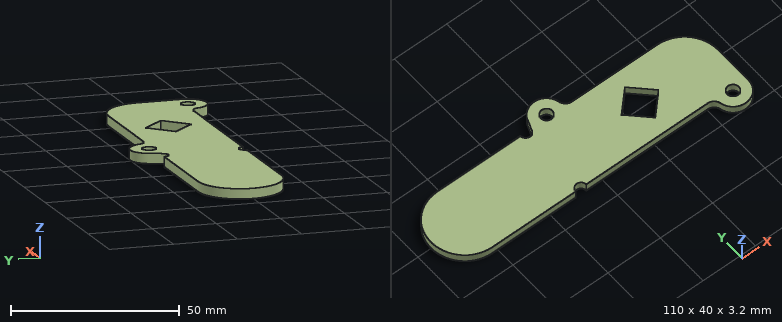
import cadquery as cq
import math

length = 110.0
body_width = 26.0
thickness = 3.2
half_width = body_width / 2

overall_width = 40.0
ear_radius = 5.9
ear_hole_diameter = 4.3
ear_offset = overall_width / 2 - ear_radius
upper_ear = (55.8, ear_offset)
lower_ear = (length - ear_radius, -ear_offset)
ear_fillet = 3.0

notch_x = 46.9
notch_radius = 2.0
window_x = 80.0
window_side = 10.0


def point_on_circle(center, radius, angle):
    return (center[0] + radius * math.cos(angle), center[1] + radius * math.sin(angle))


def fillet_blend(ear, side, edge_sign):
    """Points where a fillet meets the ear and the straight edge, with the arc's midpoint.

    side is -1 or 1 for the left or right of the ear, edge_sign for the lower or upper edge.
    """
    rise = half_width + ear_fillet - ear_offset
    run = math.sqrt((ear_radius + ear_fillet) ** 2 - rise**2)
    center = (ear[0] + side * run, edge_sign * (half_width + ear_fillet))
    to_ear = math.atan2(ear[1] - center[1], ear[0] - center[0])
    on_ear = point_on_circle(center, ear_fillet, to_ear)
    on_edge = (center[0], edge_sign * half_width)
    bisector = math.atan2(math.sin(to_ear) - edge_sign, math.cos(to_ear))
    return on_ear, point_on_circle(center, ear_fillet, bisector), on_edge


def make_plate():
    upper_notch = (notch_x, half_width)

    dx = upper_notch[0] - upper_ear[0]
    dy = upper_notch[1] - upper_ear[1]
    spread = math.acos((ear_radius + notch_radius) / math.hypot(dx, dy))
    flank_angle = math.atan2(dy, dx) % (2 * math.pi) - spread
    flank_on_ear = point_on_circle(upper_ear, ear_radius, flank_angle)
    flank_on_notch = point_on_circle(upper_notch, notch_radius, flank_angle + math.pi)

    upper_on_ear, upper_mid, upper_on_edge = fillet_blend(upper_ear, 1, 1)
    lower_on_ear, lower_mid, lower_on_edge = fillet_blend(lower_ear, -1, -1)
    corner_center = (length - half_width, 0)

    outline = (
        cq.Workplane("XY")
        .moveTo(half_width, -half_width)
        .threePointArc((0, 0), (half_width, half_width))
        .lineTo(notch_x - notch_radius, half_width)
        .threePointArc((notch_x, half_width - notch_radius), flank_on_notch)
        .lineTo(*flank_on_ear)
        .threePointArc((upper_ear[0], upper_ear[1] + ear_radius), upper_on_ear)
        .threePointArc(upper_mid, upper_on_edge)
        .lineTo(length - half_width, half_width)
        .threePointArc(point_on_circle(corner_center, half_width, math.pi / 4), (length, 0))
        .lineTo(length, lower_ear[1])
        .threePointArc((lower_ear[0], lower_ear[1] - ear_radius), lower_on_ear)
        .threePointArc(lower_mid, lower_on_edge)
        .lineTo(notch_x + notch_radius, -half_width)
        .threePointArc((notch_x, notch_radius - half_width), (notch_x - notch_radius, -half_width))
        .close()
    )
    return outline.extrude(thickness)


def make_window():
    window = cq.Workplane("XY").rect(window_side, window_side).extrude(thickness)
    return window.rotate((0, 0, 0), (0, 0, 1), 45).translate((window_x, 0, 0))


def make_ear_holes():
    holes = cq.Workplane("XY").pushPoints([upper_ear, lower_ear])
    return holes.circle(ear_hole_diameter / 2).extrude(thickness)


result = make_plate().cut(make_window()).cut(make_ear_holes())